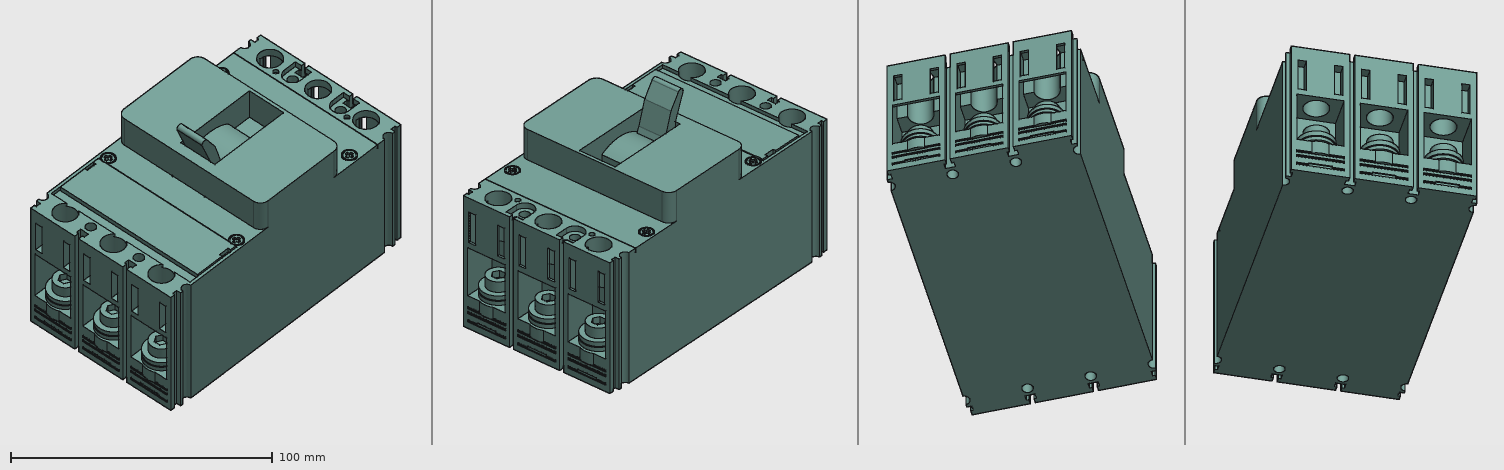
import cadquery as cq
import math

case_width = 75.0
case_length = 130.0
case_height = 60.0
half_length = case_length / 2
ends = (-1, 1)

block_height = 14.0
block_back = 30.2
block_front = -15.1
block_corner_radius = 4.0
block_top = case_height + block_height

opening_half_width = 8.9
opening_back = 28.7
opening_front = -10.2

nub_size = 0.35
nub_offset = 8.4

pole_pitch = 25.0
pole_centers = [pole_pitch * i for i in (-1, 0, 1)]
gap_centers = [pole_pitch * (i - 1.5) for i in range(4)]
mounting_hole_radius = 2.2
mounting_hole_offset = 57.0
slot_mouth_width = 2.0
slot_mouth_depth = 2.2
slot_width = 4.0
slot_depth = 4.4

recess_half_width = 4.2
recess_depth = 2.5
recess_wall = 1.9
recess_end = half_length - recess_wall

terminal_offset = 57.85
window_width = 18.6
window_bottom = 15.0
window_top = 37.0
window_depth = 14.5
access_radius = 5.15

vent_width = 3.3
vent_inset = 7.2
vent_bottom = 39.6
vent_top = 53.6
vent_depth = 4.0

hollow_wall = 1.0
hollow_top = 56.5

groove_width = 18.8
groove_depth = 0.5
groove_height = 0.9
groove_bottoms = (9.0, 6.8, 3.0)
groove_tab_width = 9.2
groove_tab_height = 0.5

terminal_projection = 0.75
terminal_seat_radius = half_length + terminal_projection - terminal_offset
terminal_seat_bottom = 9.4
bolt_neck_radius = 2.7
washer_radius = 7.65
washer_bottom = 15.9
washer_joint = 17.9
washer_top = 20.2
joint_radius = 7.4
joint_height = 0.3
bolt_head_radius = 5.15
bolt_head_top = 25.0
hex_across_flats = 5.0
hex_depth = 3.0

socket_radius = 1.15
socket_offset_x = 18.5
socket_offset_y = 54.0
socket_depth = 1.5
seam_offset = 50.75
seam_width = 0.2
seam_depth = 2.0

screw_offset_x = 33.4
screw_rows = (39.3, -24.5)
screw_ring_radius = 3.1
screw_head_radius = 2.6
screw_ring_depth = 0.5
cross_length = 3.2
cross_width = 1.2
cross_depth = 1.0

pocket_half_width = 36.1
pocket_depth = 1.6
pocket_back = -27.3
pocket_front = -53.7
plate_half_width = 35.7
plate_front = -49.0
plate_rise = 0.4
notch_back = -30.4
notch_front = -35.2
notch_inner = 34.4

drum_half_width = 8.3
drum_radius = 20.0
drum_center_y = 5.5
drum_top = 68.8
drum_back = 16.0
lever_half_width = 6.55
lever_top = 87.42
lever_root = (-2.6, 66.4)
lever_shoulder = (-4.06, 69.5)
lever_bend = (-7.5, 80.2)
lever_tip_radius = 1.6
lever_tip_y = -13.3
lever_tip_start_angle = math.radians(33)


def box(x_range, y_range, z_range):
    (x0, x1), (y0, y1), (z0, z1) = x_range, y_range, z_range
    corner = cq.Vector(x0, y0, z0)
    return cq.Workplane(cq.Solid.makeBox(x1 - x0, y1 - y0, z1 - z0, corner))


def centered(center, width):
    return (center - width / 2, center + width / 2)


def end_range(end, depth, start=0.0):
    """Y range of a cut from `start` to `depth` inside the end face on side `end`."""
    return tuple(sorted((end * (half_length - start), end * (half_length - depth))))


def cylinder(x, y, radius, bottom, top):
    return cq.Workplane("XY", origin=(x, y, bottom)).circle(radius).extrude(top - bottom)


def make_case_body():
    half_width = case_width / 2
    body = box((-half_width, half_width), (-half_length, half_length), (0, case_height))
    block = box((-half_width, half_width), (block_front, block_back), (case_height, block_top))
    body = body.union(block.edges("|Z").fillet(block_corner_radius))
    for side in (-1, 1):
        nub_x = centered(side * nub_offset, nub_size)
        nub_y = (block_front - nub_size, block_front)
        body = body.union(box(nub_x, nub_y, (case_height, case_height + nub_size)))
    return body


def pole_gap_cuts():
    """Mounting holes and T slots, cut in half by the side faces at the outer gaps."""
    full_height = (0, case_height)
    cuts = []
    for x in gap_centers:
        for end in ends:
            cuts.append(cylinder(x, end * mounting_hole_offset, mounting_hole_radius, 0, case_height))
            cuts.append(box(centered(x, slot_mouth_width), end_range(end, slot_depth), full_height))
            slot_y = end_range(end, slot_depth, slot_mouth_depth)
            cuts.append(box(centered(x, slot_width), slot_y, full_height))
    for x in gap_centers[1:-1]:
        recess_z = (case_height - recess_depth, case_height)
        cuts.append(box(centered(x, 2 * recess_half_width), (mounting_hole_offset, recess_end), recess_z))
        cuts.append(cylinder(x, mounting_hole_offset, recess_half_width, *recess_z))
    return cuts


def terminal_cuts(x, end):
    window_x = centered(x, window_width)
    cuts = [box(window_x, end_range(end, window_depth), (window_bottom, window_top))]
    cuts.append(cylinder(x, end * terminal_offset, access_radius, window_top, case_height))
    for side in (-1, 1):
        vent_x = centered(x + side * vent_inset, vent_width)
        cuts.append(box(vent_x, end_range(end, vent_depth), (vent_bottom, vent_top)))
    if end > 0:
        hollow_y = (terminal_offset, half_length - hollow_wall)
        cuts.append(box(window_x, hollow_y, (window_top, hollow_top)))
    groove_y = end_range(end, groove_depth)
    for bottom in groove_bottoms:
        cuts.append(box(centered(x, groove_width), groove_y, (bottom, bottom + groove_height)))
    tab_bottom = groove_bottoms[-1] + groove_height
    cuts.append(box(centered(x, groove_tab_width), groove_y, (tab_bottom, tab_bottom + groove_tab_height)))
    return cuts


def terminal_bolt(x, end):
    steps = [
        (terminal_seat_radius, terminal_seat_bottom, window_bottom),
        (bolt_neck_radius, window_bottom, washer_bottom),
        (washer_radius, washer_bottom, washer_joint - joint_height / 2),
        (joint_radius, washer_joint - joint_height / 2, washer_joint + joint_height / 2),
        (washer_radius, washer_joint + joint_height / 2, washer_top),
        (bolt_head_radius, washer_top, bolt_head_top),
    ]
    y = end * terminal_offset
    bolt = cylinder(x, y, *steps[0])
    for step in steps[1:]:
        bolt = bolt.union(cylinder(x, y, *step))
    hex_diameter = hex_across_flats / math.cos(math.pi / 6)
    socket = cq.Workplane("XY", origin=(x, y, bolt_head_top)).polygon(6, hex_diameter).extrude(-hex_depth)
    return bolt.cut(socket)


def screw_cut(x, y):
    """Ring gap around a screw head, with the cross recess in the head."""
    ring_bottom = case_height - screw_ring_depth
    ring = cylinder(x, y, screw_ring_radius, ring_bottom, case_height)
    ring = ring.cut(cylinder(x, y, screw_head_radius, ring_bottom, case_height))
    cross_z = (case_height - cross_depth, case_height)
    along_x = box(centered(x, cross_length), centered(y, cross_width), cross_z)
    along_y = box(centered(x, cross_width), centered(y, cross_length), cross_z)
    return [ring, along_x, along_y]


def top_cuts():
    cuts = []
    for side in (-1, 1):
        x = side * socket_offset_x
        cuts.append(cylinder(x, socket_offset_y, socket_radius, case_height - socket_depth, case_height))
        for y in screw_rows:
            cuts += screw_cut(side * screw_offset_x, y)
    seam_x = (-case_width / 2, case_width / 2)
    seam_z = (case_height - seam_depth, case_height)
    cuts.append(box(seam_x, centered(seam_offset, seam_width), seam_z))
    opening_x = (-opening_half_width, opening_half_width)
    cuts.append(box(opening_x, (opening_front, opening_back), (case_height, block_top)))
    pocket_x = (-pocket_half_width, pocket_half_width)
    pocket_z = (case_height - pocket_depth, case_height)
    cuts.append(box(pocket_x, (pocket_front, pocket_back), pocket_z))
    return cuts


def make_housing():
    cuts = pole_gap_cuts() + top_cuts()
    poles = [(x, end) for x in pole_centers for end in ends]
    for pole in poles:
        cuts += terminal_cuts(*pole)
    body = make_case_body()
    for cut in cuts:
        body = body.cut(cut)
    for pole in poles:
        body = body.union(terminal_bolt(*pole))
    return body


def make_cover_plate():
    plate_z = (case_height - pocket_depth, case_height + plate_rise)
    plate = box((-plate_half_width, plate_half_width), (plate_front, pocket_back), plate_z)
    for side in (-1, 1):
        notch_x = tuple(sorted((side * notch_inner, side * plate_half_width)))
        plate = plate.cut(box(notch_x, (notch_front, notch_back), plate_z))
        corner = cylinder(side * screw_offset_x, screw_rows[1], screw_ring_radius, *plate_z)
        plate = plate.cut(corner)
    return plate


def make_toggle():
    center_z = drum_top - drum_radius

    def drum_point(y):
        return (y, center_z + math.sqrt(drum_radius**2 - (y - drum_center_y) ** 2))

    drum = (
        cq.Workplane("YZ", origin=(-drum_half_width, 0, 0))
        .moveTo(opening_front, case_height)
        .lineTo(*drum_point(opening_front))
        .threePointArc((drum_center_y, drum_top), drum_point(drum_back))
        .lineTo(drum_back, case_height)
        .close()
        .extrude(2 * drum_half_width)
    )
    tip_z = lever_top - lever_tip_radius
    tip_start = (
        lever_tip_y + lever_tip_radius * math.cos(lever_tip_start_angle),
        tip_z + lever_tip_radius * math.sin(lever_tip_start_angle),
    )
    lever = (
        cq.Workplane("YZ", origin=(-lever_half_width, 0, 0))
        .moveTo(opening_front, case_height)
        .lineTo(lever_root[0], case_height)
        .lineTo(*lever_root)
        .lineTo(*lever_shoulder)
        .lineTo(*lever_bend)
        .lineTo(*tip_start)
        .threePointArc((lever_tip_y, lever_top), (lever_tip_y - lever_tip_radius, tip_z))
        .lineTo(opening_front, block_top)
        .close()
        .extrude(2 * lever_half_width)
    )
    return drum.union(lever)


housing = make_housing()
cover_plate = make_cover_plate()
toggle = make_toggle()

bodies = [housing, cover_plate, toggle]
result = cq.Compound.makeCompound([body.solids().val() for body in bodies])